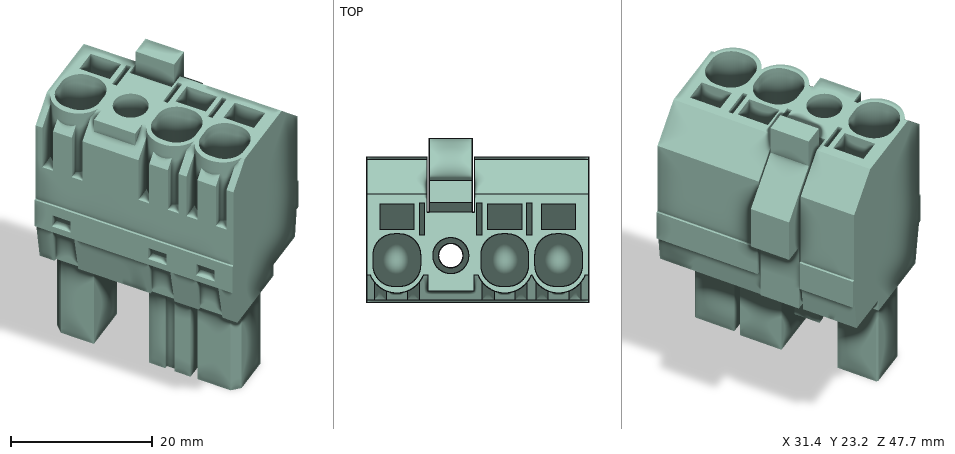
import cadquery as cq


width = 31.38
pitch = 7.62
pole_xs = [-1.5 * pitch, 0.5 * pitch, 1.5 * pitch]
lever_x = -0.5 * pitch

collar_depth = 20.6
collar_lip = 0.35
body_front = collar_lip
body_rear = collar_depth - collar_lip
top_z = 44.65
front_chamfer = 3.55
rear_chamfer = 4.9
collar_top_z = 27.3
collar_bottom_z = 22.33
rear_bottom_z = 17.55
bottom_z = 15.47
step_y = 12.8
taper_front_top_y = 0.5
taper_front_bottom_y = 1.6
taper_rear_top_y = 20.05
taper_rear_bottom_y = 19.5

funnel_y = 6.0
funnel_width = 6.76
funnel_length = 7.46
funnel_corner_radius = 3.02
funnel_wall_radius = 4.05
funnel_wall_y = 5.41
funnel_depth = 15.0
slit_span = 6.35
slit_rib_width = 2.95
slit_bottom_z = 33.63

flange_width = 6.5
flange_front_y = 1.63
screw_y = 6.64
screw_hole_diameter = 3.42
screw_head_diameter = 5.1
screw_head_depth = 15.0

pocket_width = 4.83
pocket_length = 3.56
pocket_y = 12.12
pocket_depth = 15.0
slot_xs = [-7.89, 0.21, 7.27]
slot_width = 0.74
slot_length = 4.5
slot_y = 11.82
slot_depth = 15.0

window_width = 2.95
window_height = 2.1
window_z = 24.45
window_depth = 1.35
recess_top_width = 3.47
recess_bottom_width = 3.75
recess_face_y = 2.05

pin_front_y = 3.85
pin_width = 6.4
outer_pin_rear_y = 11.1
outer_pin_chamfer = 1.15
outer_pin_rear_chamfer = 0.22
middle_pin_width = 6.6
middle_pin_rear_y = 11.45
pin_groove_width = 1.43
pin_groove_depth = 0.5

hook_width = 4.0
hook_rear_y = 11.97
hook_tip_y = 9.3
hook_stem_y = 9.8
hook_toe_y = 10.9
hook_ledge_z = 11.3
hook_tip_bottom_z = 11.03
hook_bottom_z = 8.27

lever_width = 6.1
lever_gap = 0.3
lever_top_z = 47.7
lever_grip_front_y = 14.17
lever_grip_rear_y = 17.23
lever_grip_root_z = 43.0
lever_rear_y = 23.2
lever_shoulder_z = lever_grip_root_z - (lever_rear_y - lever_grip_rear_y)
lever_pad_bottom_z = 29.86
lever_bottom_z = 18.16


def extrude_side_profile(points, center_x, size_x):
    """Extrude a closed (Y, Z) outline symmetrically about center_x."""
    outline = cq.Workplane("YZ", origin=(center_x, 0, 0)).polyline(points).close()
    return outline.extrude(size_x / 2, both=True)


def block(x_range, y_range, z_range):
    """Box between the given limits along X, Y and Z."""
    (x0, x1), (y0, y1), (z0, z1) = x_range, y_range, z_range
    return cq.Workplane("XY").box(x1 - x0, y1 - y0, z1 - z0, centered=False).translate((x0, y0, z0))


def centered_span(center, size):
    return (center - size / 2, center + size / 2)


def funnel_opening(x):
    """Rounded-rectangle wire opening sunk from the top face."""
    outline = cq.Workplane("XY", origin=(x, funnel_y, top_z)).rect(funnel_width, funnel_length)
    return outline.extrude(-funnel_depth).edges("|Z").fillet(funnel_corner_radius)


def funnel_front_wall(x):
    """Round wall around the front of a funnel, from the slit floor up to the top face."""
    base = cq.Workplane("XY", origin=(x, funnel_wall_y, slit_bottom_z))
    return base.circle(funnel_wall_radius).extrude(top_z - slit_bottom_z)


def housing_shell():
    return extrude_side_profile(
        [
            (step_y, bottom_z),
            (taper_front_bottom_y, bottom_z),
            (taper_front_top_y, collar_bottom_z),
            (0, collar_bottom_z),
            (0, collar_top_z),
            (body_front, collar_top_z),
            (body_front, top_z),
            (body_rear - rear_chamfer, top_z),
            (body_rear, top_z - rear_chamfer),
            (body_rear, collar_top_z),
            (collar_depth, collar_top_z),
            (collar_depth, collar_bottom_z),
            (taper_rear_top_y, collar_bottom_z),
            (taper_rear_bottom_y, rear_bottom_z),
            (step_y, rear_bottom_z),
        ],
        0,
        width,
    )


def funnel_slits(x):
    """Pair of slots, one on each side of the rib in front of a funnel."""
    y_range = (0, funnel_wall_y)
    z_range = (slit_bottom_z, top_z)
    slits = block(centered_span(x, slit_span), y_range, z_range)
    return slits.cut(block(centered_span(x, slit_rib_width), y_range, z_range))


def front_relief():
    """Material removed from the top front edge: the chamfer and slits, sparing funnel walls and flange."""
    relief = extrude_side_profile(
        [
            (body_front, top_z),
            (body_front, top_z - front_chamfer),
            (body_front + front_chamfer, top_z),
        ],
        0,
        width,
    )
    for x in pole_xs:
        relief = relief.union(funnel_slits(x))
    for x in pole_xs:
        relief = relief.cut(funnel_front_wall(x))
    flange_y = (flange_front_y, body_front + front_chamfer)
    return relief.cut(block(centered_span(lever_x, flange_width), flange_y, (top_z - front_chamfer, top_z)))


def front_recess(x):
    """Recess in the lower front taper, widening slightly towards the bottom."""
    outline = cq.Workplane("XZ").polyline(
        [
            (x - recess_top_width / 2, collar_bottom_z),
            (x + recess_top_width / 2, collar_bottom_z),
            (x + recess_bottom_width / 2, bottom_z),
            (x - recess_bottom_width / 2, bottom_z),
        ]
    )
    return outline.close().extrude(-recess_face_y)


def outer_pin(x):
    """Pin at one end of the row, with its large chamfer on the outward front corner."""
    side = 1 if x > 0 else -1
    outer = x + side * pin_width / 2
    inner = x - side * pin_width / 2
    small = outer_pin_rear_chamfer
    outline = cq.Workplane("XY").polyline(
        [
            (inner, pin_front_y),
            (outer - side * outer_pin_chamfer, pin_front_y),
            (outer, pin_front_y + outer_pin_chamfer),
            (outer, outer_pin_rear_y - small),
            (outer - side * small, outer_pin_rear_y),
            (inner, outer_pin_rear_y),
        ]
    )
    return outline.close().extrude(bottom_z)


def middle_pin(x):
    """Full pin with a groove down the middle of its front face."""
    z_range = (0, bottom_z)
    pin = block(centered_span(x, middle_pin_width), (pin_front_y, middle_pin_rear_y), z_range)
    groove_y = (pin_front_y, pin_front_y + pin_groove_depth)
    return pin.cut(block(centered_span(x, pin_groove_width), groove_y, z_range))


def latch_hook():
    return extrude_side_profile(
        [
            (hook_rear_y, bottom_z),
            (hook_stem_y, bottom_z),
            (hook_stem_y, hook_ledge_z),
            (hook_tip_y, hook_ledge_z),
            (hook_tip_y, hook_tip_bottom_z),
            (hook_toe_y, hook_bottom_z),
            (hook_rear_y, hook_bottom_z),
        ],
        lever_x,
        hook_width,
    )


def make_housing():
    housing = housing_shell().cut(front_relief())

    pocket_y_range = centered_span(pocket_y, pocket_length)
    pocket_z_range = (top_z - pocket_depth, top_z)
    window_z_range = centered_span(window_z, window_height)
    for x in pole_xs:
        housing = housing.cut(funnel_opening(x))
        housing = housing.cut(block(centered_span(x, pocket_width), pocket_y_range, pocket_z_range))
        housing = housing.cut(block(centered_span(x, window_width), (0, window_depth), window_z_range))
        housing = housing.cut(front_recess(x))

    slot_y_range = centered_span(slot_y, slot_length)
    slot_z_range = (top_z - slot_depth, top_z)
    for x in slot_xs:
        housing = housing.cut(block(centered_span(x, slot_width), slot_y_range, slot_z_range))

    screw_plane = cq.Workplane("XY", origin=(lever_x, screw_y, top_z))
    housing = housing.cut(screw_plane.circle(screw_hole_diameter / 2).extrude(bottom_z - top_z))
    housing = housing.cut(screw_plane.circle(screw_head_diameter / 2).extrude(-screw_head_depth))

    bay_x_range = centered_span(lever_x, lever_width + 2 * lever_gap)
    housing = housing.cut(block(bay_x_range, (step_y, collar_depth), (rear_bottom_z, top_z)))

    left_x, middle_x, right_x = pole_xs
    for part in (outer_pin(left_x), middle_pin(middle_x), outer_pin(right_x), latch_hook()):
        housing = housing.union(part)
    return housing


def make_lever():
    """Release lever standing in the bay, its foot resting against the bay's front wall."""
    return extrude_side_profile(
        [
            (step_y, lever_bottom_z),
            (step_y, lever_shoulder_z),
            (lever_grip_front_y, lever_shoulder_z),
            (lever_grip_front_y, lever_top_z),
            (lever_grip_rear_y, lever_top_z),
            (lever_grip_rear_y, lever_grip_root_z),
            (lever_rear_y, lever_shoulder_z),
            (lever_rear_y, lever_pad_bottom_z),
            (body_rear, lever_pad_bottom_z),
            (body_rear, lever_bottom_z),
        ],
        lever_x,
        lever_width,
    )


housing = make_housing()
lever = make_lever()
result = cq.Compound.makeCompound([housing.val(), lever.val()])